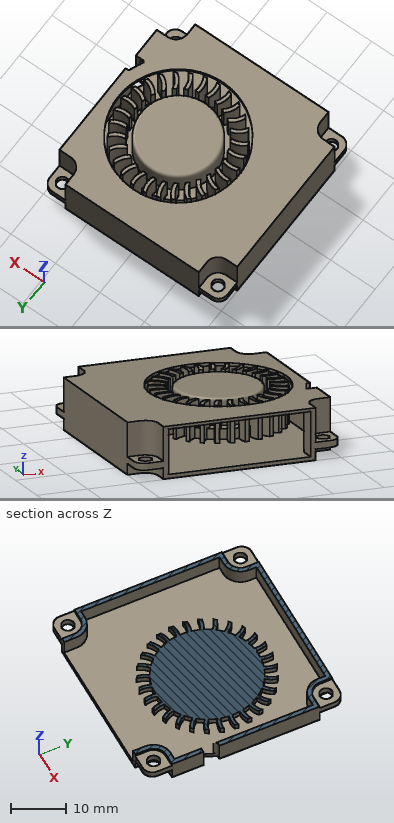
import cadquery as cq
import math

SIDE = 40.0
HEIGHT = 10.0
ROOF = 0.6
FLOOR = 0.8
WALL = 1.0
NOTCH = 5.0
NOTCH_RADIUS = NOTCH / 2
CHAMBER_TOP = HEIGHT - ROOF
OUTLET_WIDTH = SIDE - 2 * (NOTCH + WALL)

EAR_BOTTOM = 2.1
EAR_THICKNESS = 1.3
EAR_CORNER_RADIUS = 2.0
EAR_HOLE_DIAMETER = 2.5
EAR_HOLE_SPACING = SIDE - NOTCH

AXIS_X = 4.2
INLET_DIAMETER = 27.0

SLOT_BACK_Y = -5.4
SLOT_FRONT_Y = -8.55
SLOT_BACK_DEPTH = 0.7
SLOT_FRONT_DEPTH = 2.1
SLOT_CORNER_RADIUS = 0.3

IMPELLER_BOTTOM = 2.8
IMPELLER_TOP = HEIGHT
DISC_THICKNESS = 2.0
DISC_RADIUS = 10.5
HUB_DIAMETER = 16.75
HUB_EDGE_RADIUS = 0.5
BLADE_COUNT = 29
BLADE_PITCH = 360 / BLADE_COUNT

CONVEX_FACE = [(12.75, 8.9), (11.0, 7.7), (9.5, 9.9)]
CONCAVE_FACE = [(9.6, 14.6), (11.15, 11.6), (12.9, 12.4)]


def notched_block(inset, bottom, top):
    """Block between two heights with the housing outline, offset inwards by inset."""
    side = SIDE - 2 * inset
    height = top - bottom
    block = cq.Workplane("XY").rect(side, side).extrude(height)
    notches = (
        cq.Workplane("XY")
        .rect(side, side, forConstruction=True)
        .vertices()
        .rect(2 * NOTCH, 2 * NOTCH)
        .extrude(height)
        .edges("|Z")
        .fillet(NOTCH_RADIUS + inset)
    )
    return block.cut(notches).translate((0, 0, bottom))


def ear_plate():
    """Square plate through the housing that remains as an ear in each notch."""
    return (
        cq.Workplane("XY", origin=(0, 0, EAR_BOTTOM))
        .rect(SIDE, SIDE)
        .extrude(EAR_THICKNESS)
        .edges("|Z")
        .fillet(EAR_CORNER_RADIUS)
    )


def ear_holes():
    return (
        cq.Workplane("XY", origin=(0, 0, EAR_BOTTOM))
        .rect(EAR_HOLE_SPACING, EAR_HOLE_SPACING, forConstruction=True)
        .vertices()
        .circle(EAR_HOLE_DIAMETER / 2)
        .extrude(EAR_THICKNESS)
    )


def air_chamber():
    """Inner space that follows the outline and opens through the -Y wall."""
    chamber = notched_block(WALL, FLOOR, CHAMBER_TOP)
    outlet = (
        cq.Workplane("XY", origin=(0, -SIDE / 2, FLOOR))
        .rect(OUTLET_WIDTH, 2 * NOTCH)
        .extrude(CHAMBER_TOP - FLOOR)
    )
    return chamber.union(outlet)


def air_inlet():
    return cq.Workplane("XY", origin=(AXIS_X, 0, CHAMBER_TOP)).circle(INLET_DIAMETER / 2).extrude(ROOF)


def cable_slot():
    edge_x = SIDE / 2
    slot = (
        cq.Workplane("XY")
        .moveTo(edge_x, SLOT_BACK_Y)
        .lineTo(edge_x - SLOT_BACK_DEPTH, SLOT_BACK_Y)
        .lineTo(edge_x - SLOT_FRONT_DEPTH, SLOT_FRONT_Y)
        .lineTo(edge_x, SLOT_FRONT_Y)
        .close()
        .extrude(HEIGHT)
    )
    return slot.edges("|Z and (not >X)").fillet(SLOT_CORNER_RADIUS)


def make_housing():
    body = notched_block(0, 0, HEIGHT).union(ear_plate())
    for opening in (ear_holes(), air_chamber(), air_inlet(), cable_slot()):
        body = body.cut(opening)
    return body


def polar(radius, angle):
    """Plan position, relative to the impeller axis, of a radius and an angle in degrees."""
    turn = math.radians(angle)
    return (radius * math.cos(turn), radius * math.sin(turn))


def impeller_cylinder(radius, top):
    return cq.Workplane("XY", origin=(0, 0, IMPELLER_BOTTOM)).circle(radius).extrude(top - IMPELLER_BOTTOM)


def make_blade(turn):
    """Curved blade of full impeller height, rotated by turn degrees about the axis."""
    convex = [polar(radius, angle + turn) for radius, angle in CONVEX_FACE]
    concave = [polar(radius, angle + turn) for radius, angle in CONCAVE_FACE]
    return (
        cq.Workplane("XY", origin=(0, 0, IMPELLER_BOTTOM))
        .moveTo(*convex[0])
        .threePointArc(convex[1], convex[2])
        .lineTo(*concave[0])
        .threePointArc(concave[1], concave[2])
        .close()
        .extrude(IMPELLER_TOP - IMPELLER_BOTTOM)
    )


def make_impeller():
    disc = impeller_cylinder(DISC_RADIUS, IMPELLER_BOTTOM + DISC_THICKNESS)
    hub = impeller_cylinder(HUB_DIAMETER / 2, IMPELLER_TOP)
    hub = hub.faces(">Z").edges().fillet(HUB_EDGE_RADIUS)
    rotor = disc.union(hub)
    for index in range(BLADE_COUNT):
        rotor = rotor.union(make_blade(index * BLADE_PITCH))
    return rotor.translate((AXIS_X, 0, 0))


housing = make_housing()
impeller = make_impeller()
result = cq.Compound.makeCompound([housing.solids().val(), impeller.solids().val()])